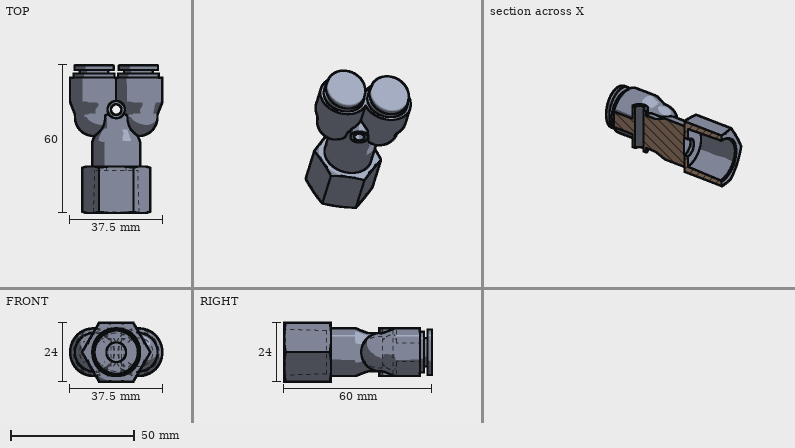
import cadquery as cq
import math


nut_across_flats = 24.0
nut_length = 19.0
nut_corner_chamfer = 0.6
thread_mouth_diameter = 18.6
thread_root_diameter = 17.5
thread_chamfer_diameter = 19.5
passage_diameter = 8.0
nut_floor = 1.8

tube_diameter = 19.5
waist_diameter = 15.6
branch_spacing = 18.0
stem_cone_start = 28.9
stem_cone_end = 33.95
stem_end = 40.0
branch_sphere_y = 39.0
branch_cone_start = 40.1
branch_cone_end = 45.0
branch_end = 54.95
edge_round = 1.0

eyelet_diameter = 7.0
eyelet_hole_diameter = 4.2
eyelet_y = 42.0

collar_diameter = 16.7
collar_end = 56.7
collar_round = 0.25
sleeve_neck_diameter = 11.7
flange_start = 58.0
flange_end = 60.0
flange_width = 16.0
flange_height = 18.6
flange_round = 0.5

branch_positions = [-branch_spacing / 2, branch_spacing / 2]
position_tolerance = 0.005


def cylinder_y(diameter, y_start, y_end):
    """Cylinder on the Y axis."""
    axis_start = cq.Vector(0, y_start, 0)
    return cq.Workplane(
        cq.Solid.makeCylinder(diameter / 2, y_end - y_start, axis_start, cq.Vector(0, 1, 0))
    )


def cone_y(diameter_start, diameter_end, y_start, y_end):
    """Cone frustum on the Y axis."""
    axis_start = cq.Vector(0, y_start, 0)
    return cq.Workplane(
        cq.Solid.makeCone(
            diameter_start / 2, diameter_end / 2, y_end - y_start, axis_start, cq.Vector(0, 1, 0)
        )
    )


def round_circle_edges(solid, y_values):
    """Round the circular edges whose centres lie at the given places along Y."""
    edges = [
        edge
        for edge in solid.edges("%CIRCLE").vals()
        if any(abs(edge.Center().y - y) < position_tolerance for y in y_values)
    ]
    return solid.newObject(edges).fillet(edge_round)


def make_nut():
    corner_radius = nut_across_flats / math.sqrt(3)
    corner_reach = corner_radius - nut_across_flats / 2
    hexagon = (
        cq.Workplane("XZ")
        .polygon(6, 2 * corner_radius)
        .extrude(-nut_length)
    )
    trim = (
        cq.Workplane("XY")
        .moveTo(0, 0)
        .lineTo(nut_across_flats / 2, 0)
        .lineTo(nut_across_flats / 2 + corner_reach, nut_corner_chamfer)
        .lineTo(nut_across_flats / 2 + corner_reach, nut_length - nut_corner_chamfer)
        .lineTo(nut_across_flats / 2, nut_length)
        .lineTo(0, nut_length)
        .close()
        .revolve(360, (0, 0, 0), (0, 1, 0))
    )
    thread_depth = nut_length - nut_floor
    mouth_depth = (thread_chamfer_diameter - thread_mouth_diameter) / 2
    return (
        hexagon.intersect(trim)
        .cut(cone_y(thread_chamfer_diameter, thread_mouth_diameter, 0, mouth_depth))
        .cut(cone_y(thread_mouth_diameter, thread_root_diameter, mouth_depth, thread_depth))
        .cut(cylinder_y(passage_diameter, thread_depth, nut_length))
    )


def make_stem():
    stem = (
        cq.Workplane("XY")
        .moveTo(0, nut_length)
        .lineTo(tube_diameter / 2, nut_length)
        .lineTo(tube_diameter / 2, stem_cone_start)
        .lineTo(waist_diameter / 2, stem_cone_end)
        .lineTo(waist_diameter / 2, stem_end)
        .lineTo(0, stem_end)
        .close()
        .revolve(360, (0, 0, 0), (0, 1, 0))
    )
    return round_circle_edges(stem, [stem_cone_start, stem_cone_end, stem_end])


def make_branch():
    """Tube socket with a hemispherical closed end, on the Y axis."""
    end_radius = waist_diameter / 2
    branch = (
        cq.Workplane("XY")
        .moveTo(0, branch_sphere_y - end_radius)
        .radiusArc((end_radius, branch_sphere_y), -end_radius)
        .lineTo(end_radius, branch_cone_start)
        .lineTo(tube_diameter / 2, branch_cone_end)
        .lineTo(tube_diameter / 2, branch_end)
        .lineTo(0, branch_end)
        .close()
        .revolve(360, (0, 0, 0), (0, 1, 0))
    )
    return round_circle_edges(branch, [branch_cone_start, branch_cone_end])


def make_body():
    body = make_stem()
    for x in branch_positions:
        body = body.union(make_branch().translate((x, 0, 0)))
    eyelet_plane = cq.Workplane("XY").center(0, eyelet_y)
    eyelet = eyelet_plane.circle(eyelet_diameter / 2).extrude(tube_diameter / 2, both=True)
    eyelet_hole = eyelet_plane.circle(eyelet_hole_diameter / 2).extrude(tube_diameter / 2, both=True)
    return body.union(eyelet).cut(eyelet_hole)


def make_collar(x):
    collar = cylinder_y(collar_diameter, branch_end, collar_end)
    return collar.faces(">Y").edges().fillet(collar_round).translate((x, 0, 0))


def make_sleeve(x):
    """Round neck under an oval push flange."""
    neck = cylinder_y(sleeve_neck_diameter, collar_end, flange_start)
    flange = (
        cq.Workplane("XZ", origin=(0, flange_start, 0))
        .ellipse(flange_width / 2, flange_height / 2)
        .extrude(flange_start - flange_end)
        .faces(">Y")
        .edges()
        .fillet(flange_round)
    )
    return neck.union(flange).translate((x, 0, 0))


nut = make_nut().solids().val()
body = make_body().solids().val()
collars = [make_collar(x).solids().val() for x in branch_positions]
sleeves = [make_sleeve(x).solids().val() for x in branch_positions]

result = cq.Compound.makeCompound([nut, body, *collars, *sleeves])